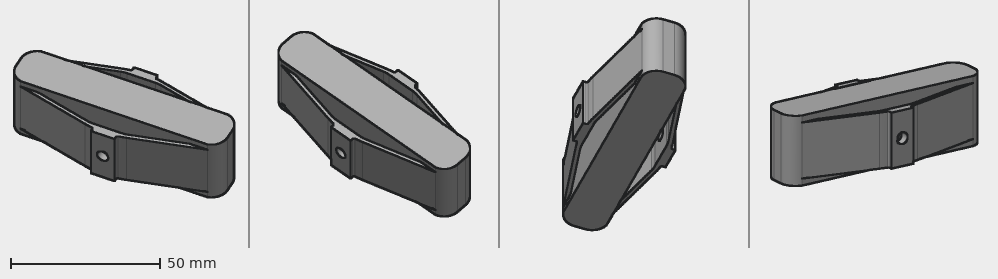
import cadquery as cq
import math

length = 78.65
height = 25.0
end_flat = 4.0
corner_radius = 6.05

arm_height = 20.0
arm_thickness = 1.6
arm_angle = math.radians(13.8)
crown_half_width = 7.7
inner_flat_y = 13.2
inner_bend_radius = 9.4

pad_face_y = 16.75
pad_half_width = 4.4
pad_fillet = 0.6
hole_diameter = 4.2

corner_sweep = math.pi / 2 - arm_angle
side_x = length / 2 - corner_radius * (1 - math.cos(corner_sweep))
side_y = end_flat / 2 + corner_radius * math.sin(corner_sweep)


def make_body():
    """Long block whose corner arcs meet the flat sides at a slight angle."""
    mid_x = length / 2 - corner_radius * (1 - math.cos(corner_sweep / 2))
    mid_y = end_flat / 2 + corner_radius * math.sin(corner_sweep / 2)
    end_x = length / 2
    end_y = end_flat / 2
    return (
        cq.Workplane("XY")
        .moveTo(-side_x, side_y)
        .lineTo(side_x, side_y)
        .threePointArc((mid_x, mid_y), (end_x, end_y))
        .lineTo(end_x, -end_y)
        .threePointArc((mid_x, -mid_y), (side_x, -side_y))
        .lineTo(-side_x, -side_y)
        .threePointArc((-mid_x, -mid_y), (-end_x, -end_y))
        .lineTo(-end_x, end_y)
        .threePointArc((-mid_x, mid_y), (-side_x, side_y))
        .close()
        .extrude(height / 2, both=True)
    )


def make_arm():
    """Spring arm on the +Y side, with its drilled and filleted pad."""
    slope = math.tan(arm_angle)
    vertical_thickness = arm_thickness / math.cos(arm_angle)

    crown_radius = crown_half_width / math.sin(arm_angle)
    crown_end_y = side_y + (side_x - crown_half_width) * slope
    crown_top_y = crown_end_y + crown_radius * (1 - math.cos(arm_angle))

    inner_root_x = side_x - vertical_thickness / slope
    inner_flat_x = inner_root_x - (inner_flat_y - side_y) / slope

    strip = (
        cq.Workplane("XY")
        .moveTo(-side_x, side_y)
        .lineTo(-crown_half_width, crown_end_y)
        .threePointArc((0, crown_top_y), (crown_half_width, crown_end_y))
        .lineTo(side_x, side_y)
        .lineTo(inner_root_x, side_y)
        .lineTo(inner_flat_x, inner_flat_y)
        .lineTo(-inner_flat_x, inner_flat_y)
        .lineTo(-inner_root_x, side_y)
        .close()
        .extrude(arm_height / 2, both=True)
    )
    for x in (-inner_flat_x, inner_flat_x):
        bend_edge = cq.selectors.NearestToPointSelector((x, inner_flat_y, 0))
        strip = strip.edges("|Z").edges(bend_edge).fillet(inner_bend_radius)

    pad_depth = pad_face_y - inner_flat_y
    pad = (
        cq.Workplane("XY")
        .center(0, inner_flat_y + pad_depth / 2)
        .rect(2 * pad_half_width, pad_depth)
        .extrude(arm_height / 2, both=True)
    )
    arm = strip.union(pad)

    root_y = crown_top_y - crown_radius + math.sqrt(crown_radius**2 - pad_half_width**2)
    for x in (-pad_half_width, pad_half_width):
        root_edge = cq.selectors.NearestToPointSelector((x, root_y, 0))
        arm = arm.edges("|Z").edges(root_edge).fillet(pad_fillet)

    hole = (
        cq.Workplane("XZ", origin=(0, pad_face_y, 0))
        .circle(hole_diameter / 2)
        .extrude(pad_depth)
    )
    return arm.cut(hole)


arm = make_arm()
result = make_body().union(arm).union(arm.mirror("XZ"))